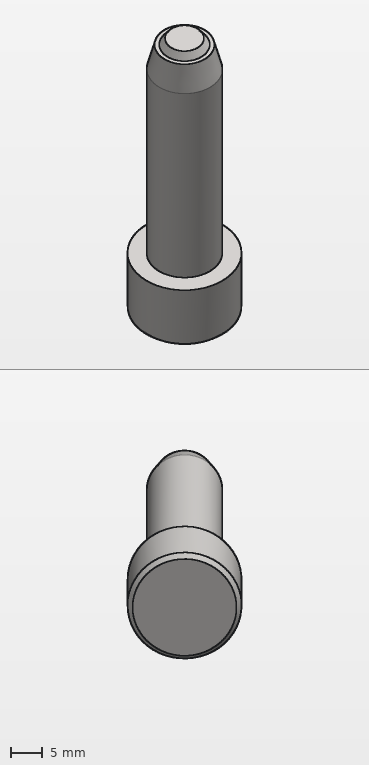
import cadquery as cq

total_length = 57.0
head_diameter = 18.0
head_height = 12.0
head_chamfer = 0.8
shank_diameter = 11.95
taper_end_diameter = 9.45
taper_length = 5.0
tip_base_diameter = 8.0
tip_end_diameter = 6.15
tip_height = 1.3

taper_top = total_length - tip_height
taper_bottom = taper_top - taper_length


def make_head():
    """Cylindrical head with a chamfered lower rim."""
    head = cq.Workplane("XY").circle(head_diameter / 2).extrude(head_height)
    return head.faces("<Z").edges().chamfer(head_chamfer)


def make_shank():
    """Straight shank with a tapered end and a smaller conical tip, revolved about Z."""
    profile = (
        cq.Workplane("XZ")
        .moveTo(0, 0)
        .lineTo(shank_diameter / 2, 0)
        .lineTo(shank_diameter / 2, taper_bottom)
        .lineTo(taper_end_diameter / 2, taper_top)
        .lineTo(tip_base_diameter / 2, taper_top)
        .lineTo(tip_end_diameter / 2, total_length)
        .lineTo(0, total_length)
        .close()
    )
    return profile.revolve(360, (0, 0, 0), (0, 1, 0))


result = make_head().union(make_shank())